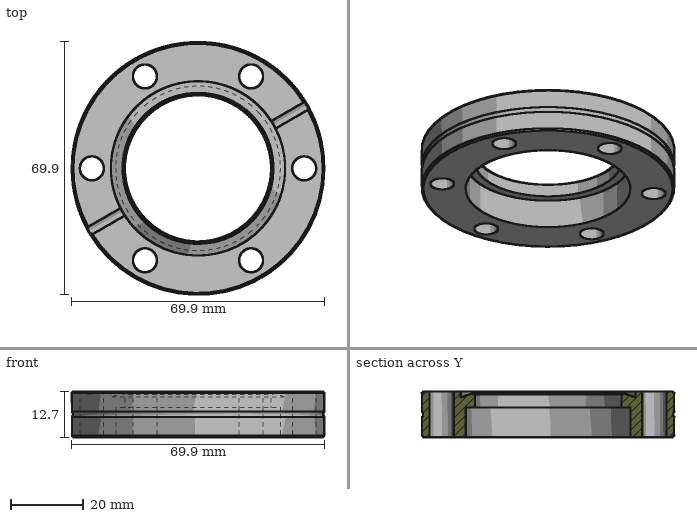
import cadquery as cq
import math

outer_diameter = 69.9
thickness = 12.7
rim_chamfer = 0.5
outer_radius = outer_diameter / 2

rim_groove_width = 1.5
rim_groove_depth = 0.3

recess_radius = 24.1
recess_depth = 1.6
knife_radius = 20.9
knife_slope = 20.0
knife_height = (recess_radius - knife_radius) * math.tan(math.radians(knife_slope))

bore_radius = 20.2
ledge_radius = 20.7
ledge_drop = 0.4
socket_radius = 22.8
socket_ceiling_drop = 4.5

bolt_count = 6
bolt_circle_radius = 29.35
bolt_hole_diameter = 6.6

leak_groove_width = 2.4
leak_groove_depth = 0.55
leak_groove_angle = 30.0
leak_groove_radius = ((leak_groove_width / 2) ** 2 + leak_groove_depth**2) / (2 * leak_groove_depth)


def make_body():
    """Revolve the ring section, including recess, knife edge, socket and rim groove."""
    knife_z = thickness - recess_depth + knife_height
    socket_ceiling_z = thickness - socket_ceiling_drop
    mid_z = thickness / 2
    ledge_z = knife_z - ledge_drop
    section = (
        cq.Workplane("XZ")
        .moveTo(socket_radius, 0)
        .lineTo(outer_radius - rim_chamfer, 0)
        .lineTo(outer_radius, rim_chamfer)
        .lineTo(outer_radius, mid_z - rim_groove_width / 2)
        .threePointArc(
            (outer_radius - rim_groove_depth, mid_z),
            (outer_radius, mid_z + rim_groove_width / 2),
        )
        .lineTo(outer_radius, thickness - rim_chamfer)
        .lineTo(outer_radius - rim_chamfer, thickness)
        .lineTo(recess_radius, thickness)
        .lineTo(recess_radius, thickness - recess_depth)
        .lineTo(knife_radius, knife_z)
        .lineTo(ledge_radius, ledge_z)
        .lineTo(bore_radius, ledge_z)
        .lineTo(bore_radius, socket_ceiling_z)
        .lineTo(socket_radius, socket_ceiling_z)
        .close()
    )
    return section.revolve(360, (0, 0, 0), (0, 1, 0))


def drill_bolt_holes(body):
    """Drill the bolt circle right through the flange."""
    holes = (
        cq.Workplane("XY")
        .polarArray(bolt_circle_radius, 0, 360, bolt_count)
        .circle(bolt_hole_diameter / 2)
        .extrude(thickness)
    )
    return body.cut(holes)


def cut_leak_grooves(body):
    """Cut round-bottomed channels outward from the recess, leaving the knife edge untouched."""
    axis_z = thickness - leak_groove_depth + leak_groove_radius
    start_radius = (recess_radius + knife_radius) / 2
    channel = (
        cq.Workplane("YZ", origin=(start_radius, 0, axis_z))
        .circle(leak_groove_radius)
        .extrude(outer_radius - start_radius)
    )
    for angle in (leak_groove_angle, leak_groove_angle + 180):
        body = body.cut(channel.rotate((0, 0, 0), (0, 0, 1), angle))
    return body


result = cut_leak_grooves(drill_bolt_holes(make_body()))